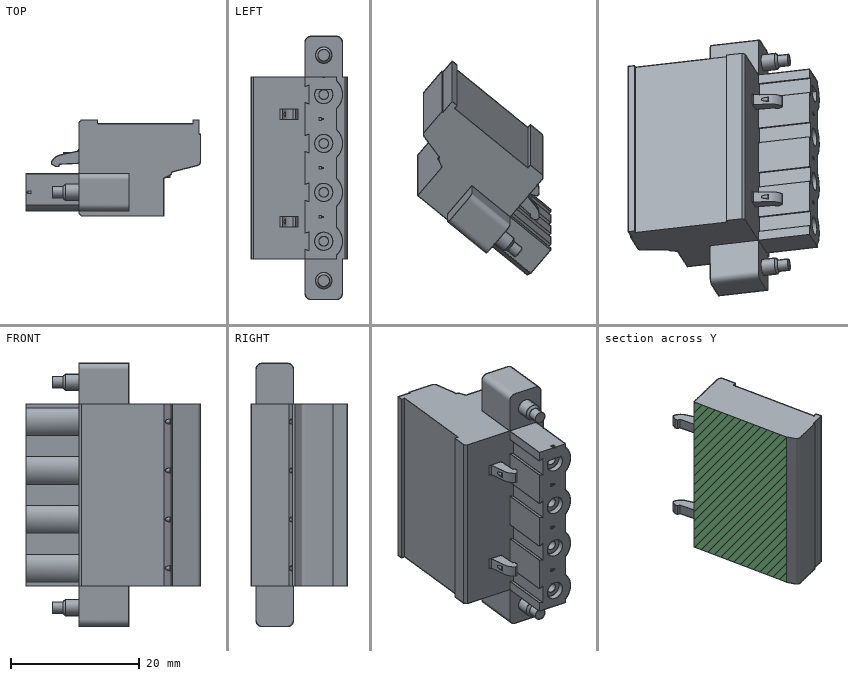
import cadquery as cq

pole_count = 4
pole_pitch = 7.62
body_height = 28.4
overall_height = 41.08
overall_length = 27.2
overall_depth = 15.0
front_x = 8.25
plug_back_y = 6.62
plug_front_y = 0.75
axis_y = (plug_back_y + plug_front_y) / 2
pole_heights = [(i - (pole_count - 1) / 2) * pole_pitch for i in range(pole_count)]
gap_heights = [z + pole_pitch / 2 for z in pole_heights[:-1]]
overlap = 0.5

body_chamfer = 0.4
wire_foot_x = 21.5
foot_corner_y = 5.9
lip_x = 22.6
lip_y = 6.45
slope_start_x = 22.8
slope_start_y = 6.87
slope_end_y = 7.98
corner_radius = 0.6
rear_step_y = 12.75
rear_step = 0.2
recess_start_x = 11.15
recess_end_x = 26.0
recess_depth = 0.6

plug_flat_y = 1.69
lobe_radius = plug_back_y - axis_y
notch_depth = 0.67
notch_mouth_half = 1.25
notch_floor_half = 1.46
socket_diameter = 2.83
socket_depth = 1.0
socket_flat = 0.77
bore_diameter = 1.5
bore_depth = 6.0

mark_size = 0.4
mark_slit_length = 0.35
mark_slit_width = 0.15
mark_depth = 0.1

flange_length = 7.79
flange_radius = 1.0
screw_height = 17.57
screw_diameter = 2.55
screw_shoulder_x = 6.12
tip_diameter = 1.8
tip_shoulder_x = 5.75
tip_end_x = 4.12

latch_height = 8.37
latch_width = 1.67
latch_pin_radius = 0.42
latch_pin_x = 5.81
latch_pin_top_y = 9.87
latch_under_y = 8.2
latch_tip_x = 3.95
latch_tip_low_y = 8.12
latch_tip_high_y = 8.45
barb_y = 7.7
barb_front_x = 4.65
barb_rear_x = 5.08
barb_top_x = 5.28
barb_top_y = 8.06
nose_mid = (4.5, 9.1)
nose_end = (5.2, 9.5)
root_x = 8.1
root_y = 10.12
root_top_y = 10.48

test_pin_radius = 0.4
test_pin_y = 6.4
test_pin_start_x = wire_foot_x - overlap
test_pin_end_x = 22.45


def box(x0, x1, y0, y1, z0, z1):
    return cq.Workplane("XY").box(x1 - x0, y1 - y0, z1 - z0, centered=False).translate((x0, y0, z0))


def rod(x0, x1, radius, y, z):
    """Cylinder along X from x0 to x1."""
    return cq.Workplane("YZ", origin=(x0, y, z)).circle(radius).extrude(x1 - x0)


def make_body():
    """Main housing: one outline in XY carried along Z."""
    tab_x = overall_length - rear_step
    recess_y = overall_depth - recess_depth
    outline = [
        (front_x, body_chamfer),
        (front_x + body_chamfer, 0),
        (wire_foot_x, 0),
        (wire_foot_x, foot_corner_y),
        (lip_x, lip_y),
        (slope_start_x, slope_start_y),
        (overall_length, slope_end_y),
        (overall_length, rear_step_y),
        (tab_x, rear_step_y),
        (tab_x, overall_depth),
        (recess_end_x, overall_depth),
        (recess_end_x, recess_y),
        (recess_start_x, recess_y),
        (recess_start_x, overall_depth),
        (front_x + body_chamfer, overall_depth),
        (front_x, overall_depth - body_chamfer),
    ]
    body = cq.Workplane("XY").polyline(outline).close().extrude(body_height / 2, both=True)
    corner = cq.selectors.NearestToPointSelector((overall_length, slope_end_y, 0))
    return body.edges("|Z").edges(corner).fillet(corner_radius)


def notch(z):
    """Dovetail groove along the back of the plug."""
    floor_y = plug_back_y - notch_depth
    outline = [
        (plug_back_y, z - notch_mouth_half),
        (floor_y, z - notch_floor_half),
        (floor_y, z + notch_floor_half),
        (plug_back_y, z + notch_mouth_half),
    ]
    return cq.Workplane("YZ").polyline(outline).close().extrude(front_x)


def make_plug():
    """Nose ahead of the body, lobed at its front and grooved at its back."""
    half = body_height / 2
    end_x = front_x + overlap
    plug = box(0, end_x, plug_flat_y, plug_back_y, -half, half)
    lobe_space = box(0, end_x, plug_front_y, axis_y, -half, half)
    for z in pole_heights:
        plug = plug.union(rod(0, end_x, lobe_radius, axis_y, z).intersect(lobe_space))
    for z in pole_heights:
        plug = plug.cut(notch(z))
    return plug


def socket(z, keyed):
    """Contact opening; the keyed one has a flat on its +Z side."""
    mouth = rod(0, socket_depth, socket_diameter / 2, axis_y, z)
    if keyed:
        reach = socket_diameter
        flat_z = z + socket_flat
        mouth = mouth.cut(box(0, socket_depth, axis_y - reach, axis_y + reach, flat_z, z + reach))
    return mouth.union(rod(0, bore_depth, bore_diameter / 2, axis_y, z))


def face_mark(z):
    """Coding mark sunk into the plug face between two poles."""
    half = mark_size / 2
    slit = mark_slit_width / 2
    pocket_y = axis_y + mark_slit_length
    pocket = box(0, mark_depth, pocket_y, pocket_y + mark_size, z - half, z + half)
    return pocket.union(box(0, mark_depth, axis_y, pocket_y, z - slit, z + slit))


def top_mark():
    """Coding mark sunk into the top side of the plug, open at its face."""
    half = mark_size / 2
    slit = mark_slit_width / 2
    top = body_height / 2
    bottom = top - mark_depth
    pocket_x = mark_slit_length
    pocket = box(pocket_x, pocket_x + mark_size, axis_y - half, axis_y + half, bottom, top)
    return pocket.union(box(0, pocket_x, axis_y - slit, axis_y + slit, bottom, top))


def make_flanges():
    """Both mounting flanges as one bar running through the body."""
    half = overall_height / 2
    bar = box(front_x, front_x + flange_length, plug_front_y, plug_back_y, -half, half)
    return bar.edges("|X").fillet(flange_radius)


def screw(z):
    """Stepped screw end standing out of the flange."""
    outline = [
        (front_x + overlap, 0),
        (front_x + overlap, -screw_diameter / 2),
        (screw_shoulder_x, -screw_diameter / 2),
        (tip_shoulder_x, -tip_diameter / 2),
        (tip_end_x, -tip_diameter / 2),
        (tip_end_x, 0),
    ]
    turned = cq.Workplane("XY").polyline(outline).close().revolve(360, (0, 0, 0), (1, 0, 0))
    return turned.translate((0, axis_y, z))


def latch(z):
    """Barbed hook with a round pin along its top."""
    hook = (
        cq.Workplane("XY", origin=(0, 0, z))
        .moveTo(front_x + overlap, latch_under_y)
        .lineTo(front_x, latch_under_y)
        .lineTo(barb_top_x, barb_top_y)
        .lineTo(barb_rear_x, barb_y)
        .lineTo(barb_front_x, barb_y)
        .lineTo(latch_tip_x, latch_tip_low_y)
        .lineTo(latch_tip_x, latch_tip_high_y)
        .threePointArc(nose_mid, nose_end)
        .lineTo(root_x, root_y)
        .lineTo(front_x, root_top_y)
        .lineTo(front_x + overlap, root_top_y)
        .close()
        .extrude(latch_width / 2, both=True)
    )
    pin_y = latch_pin_top_y - latch_pin_radius
    return hook.union(rod(latch_pin_x, front_x + overlap, latch_pin_radius, pin_y, z))


def test_pin(z):
    """Pin lying half buried in the sloped strip."""
    return rod(test_pin_start_x, test_pin_end_x, test_pin_radius, test_pin_y, z)


result = make_body().union(make_plug()).union(make_flanges())
for side in (-1, 1):
    result = result.union(screw(side * screw_height))
    result = result.union(latch(side * latch_height))
for pole_z in pole_heights:
    result = result.union(test_pin(pole_z))
    result = result.cut(socket(pole_z, pole_z == pole_heights[-1]))
for gap_z in gap_heights:
    result = result.cut(face_mark(gap_z))
result = result.cut(top_mark())